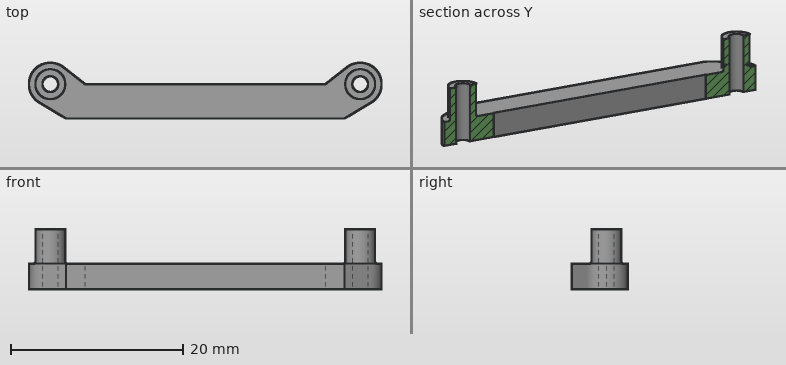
import cadquery as cq
import math

overall_length = 41.0
eye_radius = 2.5
bar_thickness = 3.0
bar_width = 4.0
overall_height = 7.0
post_diameter = 3.5
bore_diameter = 1.8
root_fillet = 0.2
inner_corner_x = 13.95
outer_corner_x = 16.15

post_x = overall_length / 2 - eye_radius
post_centers = [(-post_x, 0), (post_x, 0)]


def tangent_point(corner_x, corner_y, side):
    """Point where the line from a bar corner touches the right-hand end circle.

    side is +1 for the tangent on the +Y side of the circle, -1 for the -Y side.
    """
    dx = corner_x - post_x
    dy = corner_y
    to_corner = math.atan2(dy, dx)
    offset = math.acos(eye_radius / math.hypot(dx, dy))
    angle = to_corner - side * offset
    return (post_x + eye_radius * math.cos(angle), eye_radius * math.sin(angle))


def mirrored(point):
    return (-point[0], point[1])


def make_bar():
    """Flat bar whose angled ends run tangentially into round eyes."""
    inner_corner = (inner_corner_x, 0)
    outer_corner = (outer_corner_x, -bar_width)
    upper_tangent = tangent_point(*inner_corner, 1)
    lower_tangent = tangent_point(*outer_corner, -1)
    eye_tip = (overall_length / 2, 0)
    return (
        cq.Workplane("XY")
        .moveTo(*mirrored(outer_corner))
        .lineTo(*outer_corner)
        .lineTo(*lower_tangent)
        .threePointArc(eye_tip, upper_tangent)
        .lineTo(*inner_corner)
        .lineTo(*mirrored(inner_corner))
        .lineTo(*mirrored(upper_tangent))
        .threePointArc(mirrored(eye_tip), mirrored(lower_tangent))
        .close()
        .extrude(bar_thickness)
    )


def make_post():
    """Round post on the Z axis, flaring into the bar with a concave root fillet."""
    post_radius = post_diameter / 2
    fillet_top = bar_thickness + root_fillet
    fillet_outer = post_radius + root_fillet
    fillet_reach = root_fillet * math.sqrt(0.5)
    fillet_middle = (fillet_outer - fillet_reach, fillet_top - fillet_reach)
    return (
        cq.Workplane("XZ")
        .lineTo(fillet_outer, 0)
        .lineTo(fillet_outer, bar_thickness)
        .threePointArc(fillet_middle, (post_radius, fillet_top))
        .lineTo(post_radius, overall_height)
        .lineTo(0, overall_height)
        .close()
        .revolve(360, (0, 0, 0), (0, 1, 0))
    )


result = make_bar()
for x, y in post_centers:
    result = result.union(make_post().translate((x, y, 0)))

bores = cq.Workplane("XY").pushPoints(post_centers).circle(bore_diameter / 2).extrude(overall_height)
result = result.cut(bores)